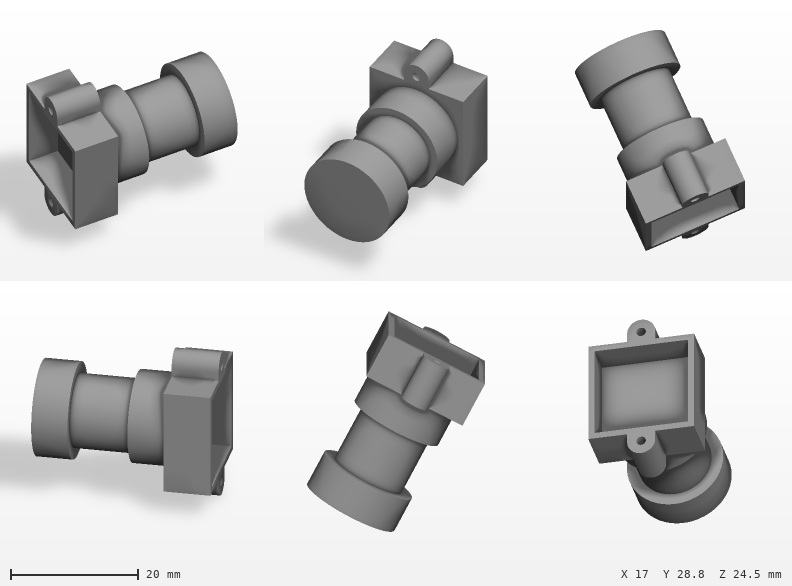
import cadquery as cq

total_length = 28.8
housing_side = 17.0
housing_depth = 7.52
cavity_side = 15.0
cavity_depth = 5.0

ear_width = 4.5
total_height = 24.5
screw_hole_diameter = 1.5
screw_offset = (total_height - ear_width) / 2

collar_diameter = 14.8
collar_length = 6.0
neck_diameter = 11.8
neck_length = 9.5
head_diameter = 15.5
head_length = total_length - housing_depth - collar_length - neck_length


def plane_at(y):
    """Plane normal to the lens axis, facing -Y, with local x along +X and local y along +Z."""
    return cq.Plane(origin=(0, y, 0), xDir=(1, 0, 0), normal=(0, -1, 0))


def square_block(side, depth):
    return cq.Workplane(plane_at(0)).rect(side, side).extrude(-depth)


def barrel_section(start, diameter, length):
    return cq.Workplane(plane_at(start)).circle(diameter / 2).extrude(-length)


housing = square_block(housing_side, housing_depth)
ears = (
    cq.Workplane(plane_at(0))
    .slot2D(total_height, ear_width, angle=90)
    .extrude(-housing_depth)
)
body = housing.union(ears)

section_start = housing_depth
for diameter, length in (
    (collar_diameter, collar_length),
    (neck_diameter, neck_length),
    (head_diameter, head_length),
):
    body = body.union(barrel_section(section_start, diameter, length))
    section_start += length

body = body.cut(square_block(cavity_side, cavity_depth))

screw_holes = (
    cq.Workplane(plane_at(0))
    .pushPoints([(0, -screw_offset), (0, screw_offset)])
    .circle(screw_hole_diameter / 2)
    .extrude(-housing_depth)
)
result = body.cut(screw_holes)